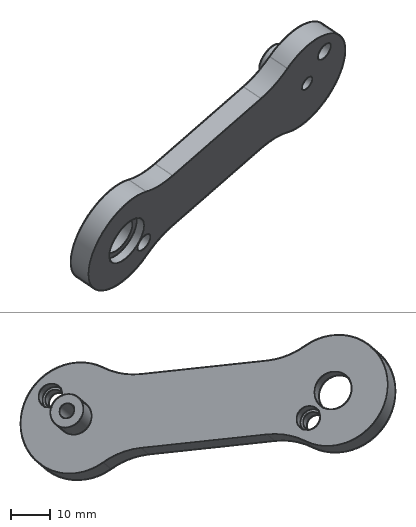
import cadquery as cq
import math

overall_length = 99.7
end_diameter = 29.7
end_radius = end_diameter / 2
end_offset = (overall_length - end_diameter) / 2
half_width = 19.8 / 2
neck_radius = 19.9
plate_thickness = 6.1

pin_diameter = 9.0
pin_length = 6.4
pin_bore = 4.0

main_bore = 10.1
main_counterbore = 13.5
main_counterbore_depth = 2.5

screw_hole = 5.0
screw_counterbore = 6.4
screw_counterbore_depth = 3.0
screw_offset = 9.5 * math.sqrt(0.5)


def cylinder(diameter, x_start, length, y, z=0):
    """Solid cylinder along +X."""
    base = cq.Workplane("YZ", origin=(x_start, y, z))
    return base.circle(diameter / 2).extrude(length)


def make_plate():
    """Straight bar blended into two round ends by tangent concave arcs."""
    neck_height = half_width + neck_radius
    centre_distance = end_radius + neck_radius
    neck_reach = math.sqrt(centre_distance**2 - neck_height**2)
    bar_end = end_offset - neck_reach
    blend_y = end_offset - end_radius * neck_reach / centre_distance
    blend_z = end_radius * neck_height / centre_distance
    half_angle = math.atan2(neck_reach, neck_height) / 2
    middle_y = bar_end + neck_radius * math.sin(half_angle)
    middle_z = neck_height - neck_radius * math.cos(half_angle)

    outline = (
        cq.Workplane("YZ")
        .moveTo(-bar_end, half_width)
        .lineTo(bar_end, half_width)
        .threePointArc((middle_y, middle_z), (blend_y, blend_z))
        .threePointArc((overall_length / 2, 0), (blend_y, -blend_z))
        .threePointArc((middle_y, -middle_z), (bar_end, -half_width))
        .lineTo(-bar_end, -half_width)
        .threePointArc((-middle_y, -middle_z), (-blend_y, -blend_z))
        .threePointArc((-overall_length / 2, 0), (-blend_y, blend_z))
        .threePointArc((-middle_y, middle_z), (-bar_end, half_width))
        .close()
    )
    return outline.extrude(plate_thickness)


def add_pin(body):
    """Pin with a bore running through both the pin and the plate."""
    pin = cylinder(pin_diameter, -pin_length, pin_length, end_offset)
    bore = cylinder(pin_bore, -pin_length, pin_length + plate_thickness, end_offset)
    return body.union(pin).cut(bore)


def cut_main_bore(body):
    """Through bore with a wider counterbore in the +X face."""
    bore = cylinder(main_bore, 0, plate_thickness, -end_offset)
    counterbore_floor = plate_thickness - main_counterbore_depth
    counterbore = cylinder(main_counterbore, counterbore_floor, main_counterbore_depth, -end_offset)
    return body.cut(bore).cut(counterbore)


def cut_screw_hole(body, y, z):
    """Through hole counterbored from the -X face."""
    hole = cylinder(screw_hole, 0, plate_thickness, y, z)
    counterbore = cylinder(screw_counterbore, 0, screw_counterbore_depth, y, z)
    return body.cut(hole).cut(counterbore)


result = make_plate()
result = add_pin(result)
result = cut_main_bore(result)
for side in (1, -1):
    result = cut_screw_hole(result, side * end_offset + screw_offset, side * screw_offset)